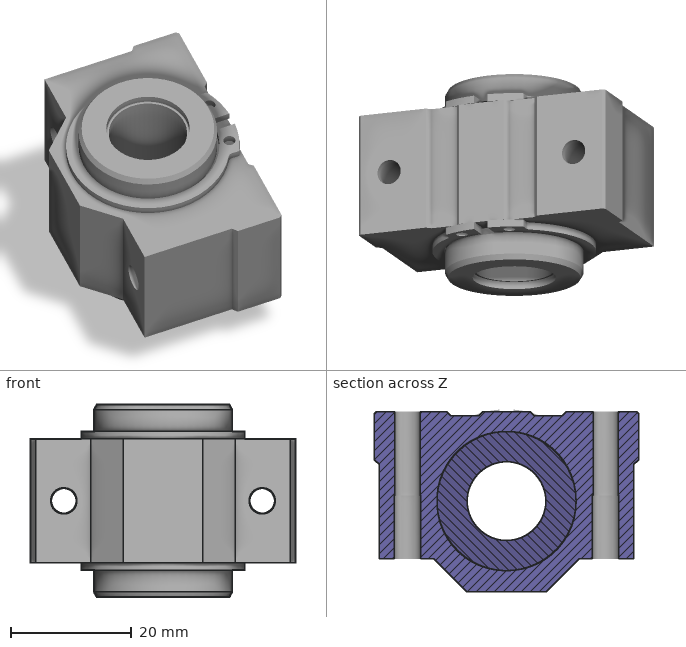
import cadquery as cq

block_width = 44.0
block_height = 20.55
back_y = 14.85
front_y = -15.1
body_half_width = 21.1
shoulder_y = 6.8
shoulder_drop = 0.7
corner_chamfer = 0.45
nose_half_width = 6.55
nose_slope = 5.45
notch_inner_x = 3.95
notch_outer_x = 9.9
notch_depth = 0.7
mount_hole_diameter = 4.15
mount_hole_mouth_diameter = 4.3
mount_hole_mouth_depth = 10.55
mount_hole_spacing = 32.9

bushing_diameter = 23.0
bushing_length = 32.0
end_face_diameter = 22.0
end_chamfer_length = 0.9
bore_diameter = 13.0
counterbore_diameter = 13.8
counterbore_depth = 1.25
groove_diameter = 22.0

ring_thickness = 1.25
ring_outer_radius = 13.6
ring_opening_radius = 11.45
ring_opening_offset = ring_opening_radius - groove_diameter / 2
lug_radius = 15.22
lug_half_width = 6.95
ring_gap = 2.38
lug_corner_radius = 0.45
lug_root_radius = 0.9
lug_hole_diameter = 2.0
lug_hole_x = 4.22
lug_hole_y = 12.9

half_width = block_width / 2
half_height = block_height / 2


def make_block():
    """Prismatic block with a sloped nose, shoulders, back notches and its holes."""
    ledge_y = front_y + nose_slope
    right_side = [
        (nose_half_width, front_y),
        (nose_half_width + nose_slope, ledge_y),
        (body_half_width, ledge_y),
        (body_half_width, shoulder_y - shoulder_drop),
        (half_width, shoulder_y),
        (half_width, back_y - corner_chamfer),
        (half_width - corner_chamfer, back_y),
        (notch_outer_x, back_y),
        (notch_outer_x - notch_depth, back_y - notch_depth),
        (notch_inner_x + notch_depth, back_y - notch_depth),
        (notch_inner_x, back_y),
    ]
    left_side = [(-x, y) for x, y in reversed(right_side)]
    block = (
        cq.Workplane("XY")
        .workplane(offset=-half_height)
        .polyline(right_side + left_side)
        .close()
        .extrude(block_height)
    )
    bushing_hole = cq.Workplane("XY").circle(bushing_diameter / 2).extrude(half_height, both=True)
    hole_places = cq.Workplane("XZ", origin=(0, ledge_y, 0)).pushPoints(
        [(-mount_hole_spacing / 2, 0), (mount_hole_spacing / 2, 0)]
    )
    mount_holes = hole_places.circle(mount_hole_diameter / 2).extrude(ledge_y - back_y)
    hole_mouths = hole_places.circle(mount_hole_mouth_diameter / 2).extrude(-mount_hole_mouth_depth)
    return block.cut(bushing_hole).cut(mount_holes).cut(hole_mouths)


def make_bushing():
    """Turned sleeve, revolved from its (radius, z) half section."""
    outer = bushing_diameter / 2
    face = end_face_diameter / 2
    bore = bore_diameter / 2
    counterbore = counterbore_diameter / 2
    groove = groove_diameter / 2
    end_z = bushing_length / 2
    groove_end_z = half_height + ring_thickness
    upper_half = [
        (outer, half_height),
        (groove, half_height),
        (groove, groove_end_z),
        (outer, groove_end_z),
        (outer, end_z - end_chamfer_length),
        (face, end_z),
        (counterbore, end_z),
        (counterbore, end_z - counterbore_depth),
        (bore, end_z - counterbore_depth),
    ]
    lower_half = [(r, -z) for r, z in reversed(upper_half)]
    return (
        cq.Workplane("XZ")
        .polyline(upper_half + lower_half)
        .close()
        .revolve(360, (0, 0, 0), (0, 1, 0))
    )


def make_ring(base_z):
    """Open retaining ring with two drilled lugs, starting at base_z."""
    plane = cq.Workplane("XY").workplane(offset=base_z)
    lug_disc = plane.circle(lug_radius).extrude(ring_thickness)
    lug_strip = plane.center(0, lug_radius / 2).rect(2 * lug_half_width, lug_radius).extrude(ring_thickness)
    lugs = lug_disc.intersect(lug_strip)
    ring = plane.circle(ring_outer_radius).extrude(ring_thickness).union(lugs)
    lug_corner_y = (lug_radius**2 - lug_half_width**2) ** 0.5
    lug_root_y = (ring_outer_radius**2 - lug_half_width**2) ** 0.5
    for corner_y, radius in [(lug_corner_y, lug_corner_radius), (lug_root_y, lug_root_radius)]:
        for corner_x in (-lug_half_width, lug_half_width):
            corner = cq.selectors.NearestToPointSelector((corner_x, corner_y, base_z + ring_thickness / 2))
            ring = ring.edges("|Z").edges(corner).fillet(radius)
    opening = plane.center(0, ring_opening_offset).circle(ring_opening_radius).extrude(ring_thickness)
    gap = plane.center(0, lug_radius / 2).rect(ring_gap, lug_radius).extrude(ring_thickness)
    holes = (
        plane.pushPoints([(-lug_hole_x, lug_hole_y), (lug_hole_x, lug_hole_y)])
        .circle(lug_hole_diameter / 2)
        .extrude(ring_thickness)
    )
    return ring.cut(opening).cut(gap).cut(holes)


block = make_block()
bushing = make_bushing()
rings = [make_ring(base_z) for base_z in (half_height, -half_height - ring_thickness)]

result = cq.Compound.makeCompound([block.val(), bushing.val(), *[ring.val() for ring in rings]])